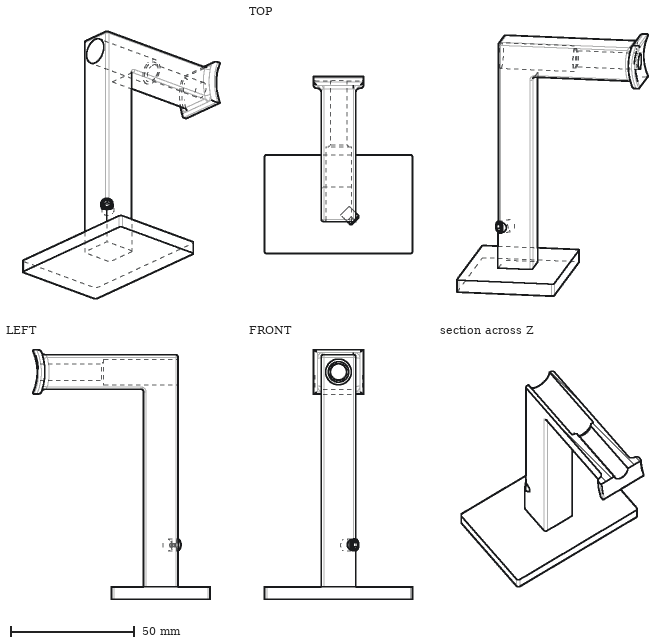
import cadquery as cq
import math

plate_width = 60.0
plate_depth = 40.0
plate_thickness = 5.0
plate_corner_radius = 1.0

bar_size = 14.0
bar_half = bar_size / 2
bar_edge_radius = 1.0

total_height = 101.0
saddle_width = 20.4
saddle_height = 18.0
saddle_thickness = 3.1
saddle_blend_radius = 1.5
saddle_rim_radius = 0.5
arm_joint_radius = 1.6
rail_radius = 21.2
rail_axis_y = 71.2

arm_axis_z = total_height - saddle_height / 2
arm_top_z = arm_axis_z + bar_half
arm_bottom_z = arm_axis_z - bar_half
saddle_tip_y = rail_axis_y - math.sqrt(rail_radius**2 - (saddle_height / 2) ** 2)
saddle_front_radius = rail_radius + saddle_thickness
saddle_inner_y = rail_axis_y - saddle_front_radius

access_hole_diameter = 10.4
access_hole_depth = 30.3
bolt_hole_diameter = 6.6
bolt_chamfer_diameter = 8.3

screw_diameter = 4.9
screw_length = 6.1
screw_axis_z = 22.0
screw_face_distance = 9.6
screw_chamfer = 0.4
hex_across_flats = 2.8
hex_depth = 2.5


def base_plate():
    plate = cq.Workplane("XY").box(plate_width, plate_depth, plate_thickness, centered=(True, True, False))
    return plate.edges("|Z").fillet(plate_corner_radius)


def rail_cylinder(radius):
    """Cylinder around the rail axis, which runs along X."""
    return (
        cq.Workplane("YZ", origin=(-saddle_width / 2, rail_axis_y, arm_axis_z))
        .circle(radius)
        .extrude(saddle_width)
    )


def rounded_elbow():
    """Upper part of the post with the arm, rounded along every edge but its two end faces."""
    outline = [
        (-bar_half, screw_axis_z),
        (bar_half, screw_axis_z),
        (bar_half, arm_bottom_z),
        (rail_axis_y, arm_bottom_z),
        (rail_axis_y, arm_top_z),
        (-bar_half, arm_top_z),
    ]
    elbow = cq.Workplane("YZ", origin=(-bar_half, 0, 0)).polyline(outline).close().extrude(bar_size)
    elbow = elbow.edges("not(>Y or <Z)").fillet(bar_edge_radius)
    return elbow.cut(rail_cylinder(saddle_front_radius - saddle_thickness / 2))


def post_foot():
    """Lower part of the post: its front right edge stays sharp below the set screw."""
    foot = (
        cq.Workplane("XY", origin=(0, 0, plate_thickness))
        .rect(bar_size, bar_size)
        .extrude(screw_axis_z - plate_thickness)
    )
    rounded = foot.edges("|Z").edges("<X").add(foot.edges("|Z").edges(">X").edges(">Y"))
    return rounded.fillet(bar_edge_radius)


def saddle():
    """Curved pad between two cylinders around the rail axis, with both its rims rounded."""
    block = cq.Workplane("XY", origin=(0, saddle_inner_y, arm_axis_z)).box(
        saddle_width, saddle_tip_y - saddle_inner_y, saddle_height, centered=(True, False, True)
    )
    pad = block.intersect(rail_cylinder(saddle_front_radius)).cut(rail_cylinder(rail_radius))
    front_face = cq.selectors.NearestToPointSelector((0, saddle_inner_y, arm_axis_z))
    pad = pad.faces(front_face).edges().fillet(saddle_blend_radius)
    rail_face = cq.selectors.NearestToPointSelector((0, rail_axis_y - rail_radius, arm_axis_z))
    return pad.faces(rail_face).edges().fillet(saddle_rim_radius)


def stepped_hole():
    """Wide hole from the front of the post, then a chamfered bolt hole out through the saddle."""
    step_y = access_hole_depth - bar_half
    chamfer = (bolt_chamfer_diameter - bolt_hole_diameter) / 2
    profile = [
        (0, -bar_half),
        (access_hole_diameter / 2, -bar_half),
        (access_hole_diameter / 2, step_y),
        (bolt_chamfer_diameter / 2, step_y),
        (bolt_hole_diameter / 2, step_y + chamfer),
        (bolt_hole_diameter / 2, saddle_tip_y),
        (0, saddle_tip_y),
    ]
    hole = cq.Workplane("XY").polyline(profile).close().revolve(360, (0, 0, 0), (0, 1, 0))
    return hole.translate((0, 0, arm_axis_z))


def screw_plane(distance):
    """Plane across the screw axis, facing out of the front right corner of the post."""
    offset = distance / math.sqrt(2)
    return cq.Plane(origin=(offset, -offset, screw_axis_z), xDir=(0, 0, 1), normal=(1, -1, 0))


def screw_hole():
    corner_distance = bar_half * math.sqrt(2)
    bottom = screw_face_distance - screw_length
    return cq.Workplane(screw_plane(bottom)).circle(screw_diameter / 2).extrude(corner_distance - bottom)


def set_screw():
    bottom = screw_face_distance - screw_length
    screw = cq.Workplane(screw_plane(bottom)).circle(screw_diameter / 2).extrude(screw_length)
    outer_end = cq.selectors.DirectionMinMaxSelector(cq.Vector(1, -1, 0), True)
    screw = screw.faces(outer_end).chamfer(screw_chamfer)
    across_corners = hex_across_flats / math.cos(math.pi / 6)
    socket = cq.Workplane(screw_plane(screw_face_distance)).polygon(6, across_corners).extrude(-hex_depth)
    return screw.cut(socket)


def arm_joint_edges():
    """Selects the loop of edges where the arm meets the saddle."""
    margin = 0.1
    reach = bar_half + margin
    return cq.selectors.BoxSelector(
        (-reach, saddle_inner_y - margin, arm_axis_z - reach),
        (reach, saddle_tip_y, arm_axis_z + reach),
        boundingbox=True,
    )


def bracket():
    body = rounded_elbow().union(saddle())
    body = body.edges(arm_joint_edges()).fillet(arm_joint_radius)
    return body.union(post_foot()).cut(stepped_hole()).cut(screw_hole())


result = cq.Compound.makeCompound([base_plate().val(), bracket().val(), set_screw().val()])